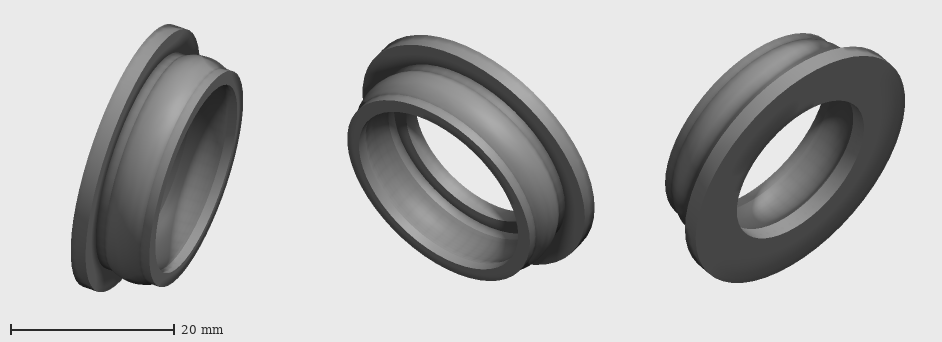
import cadquery as cq

flange_diameter = 34.0
flange_thickness = 2.0
hub_diameter = 27.95
bore_diameter = 20.65
land_width = 1.2
bead_width = 4.83
bead_height = 0.65
hub_wall = 1.8

bead_start = flange_thickness + land_width
bead_end = bead_start + bead_width
bead_middle = (bead_start + bead_end) / 2
total_length = bead_end + land_width
flange_radius = flange_diameter / 2
hub_radius = hub_diameter / 2
bore_radius = bore_diameter / 2
hub_inner_radius = hub_radius - hub_wall

section = (
    cq.Workplane("XY")
    .moveTo(0, bore_radius)
    .lineTo(0, flange_radius)
    .lineTo(flange_thickness, flange_radius)
    .lineTo(flange_thickness, hub_radius)
    .lineTo(bead_start, hub_radius)
    .threePointArc((bead_middle, hub_radius + bead_height), (bead_end, hub_radius))
    .lineTo(total_length, hub_radius)
    .lineTo(total_length, hub_inner_radius)
    .lineTo(bead_end, hub_inner_radius)
    .threePointArc((bead_middle, hub_inner_radius + bead_height), (bead_start, hub_inner_radius))
    .lineTo(flange_thickness, hub_inner_radius)
    .lineTo(flange_thickness, bore_radius)
    .close()
)

result = section.revolve(360, (0, 0, 0), (1, 0, 0))